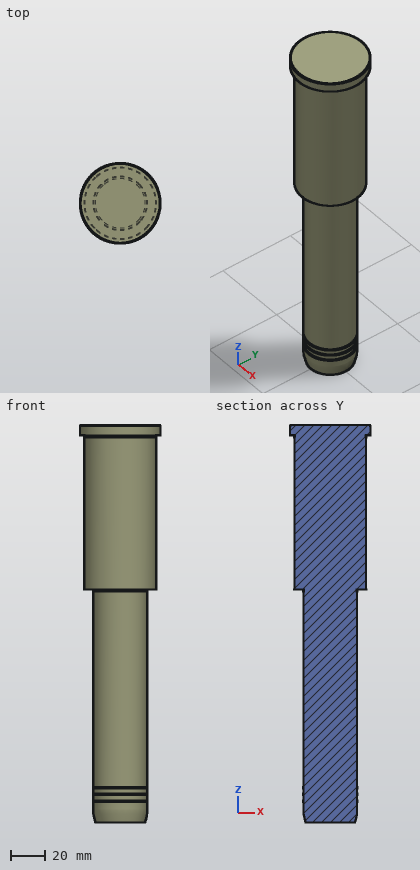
import cadquery as cq
import math

total_length = 231.0
flange_diameter = 47.0
flange_thickness = 6.0
flange_chamfer = 0.5
body_diameter = 42.0
body_length = 89.6
pin_diameter = 31.6

neck_length = 1.2
neck_depth = 0.5

neck_slope_height = 0.5

groove_count = 3
groove_width = 1.0
groove_depth = 0.2
groove_pitch = 4.0
lowest_groove_bottom = 12.0

tip_height = 7.5
tip_inset = 1.5

flange_radius = flange_diameter / 2
body_radius = body_diameter / 2
pin_radius = pin_diameter / 2
flange_bottom = total_length - flange_thickness
body_bottom = flange_bottom - body_length


def cylinder(radius, bottom, top):
    return cq.Workplane("XY").workplane(offset=bottom).circle(radius).extrude(top - bottom)


def ring_cut(radius, bottom, width, depth):
    """Ring that removes the given depth from a cylinder of the given radius."""
    outer = cylinder(radius + depth, bottom, bottom + width)
    return outer.cut(cylinder(radius - depth, bottom, bottom + width))


def v_groove_cut(radius, bottom, width, depth):
    """Ring of triangular section that cuts a V groove into a cylinder."""
    return (
        cq.Workplane("XZ")
        .moveTo(radius, bottom)
        .lineTo(radius - depth, bottom + width / 2)
        .lineTo(radius, bottom + width)
        .close()
        .revolve(360, (0, 0, 0), (0, 1, 0))
    )


def rounded_pin():
    """Pin whose tip narrows along an arc tangent to the straight side."""
    arc_radius = (tip_height**2 + tip_inset**2) / (2 * tip_inset)
    half_angle = math.asin(tip_height / arc_radius) / 2
    arc_middle = (
        pin_radius - arc_radius * (1 - math.cos(half_angle)),
        tip_height - arc_radius * math.sin(half_angle),
    )
    return (
        cq.Workplane("XZ")
        .lineTo(pin_radius - tip_inset, 0)
        .threePointArc(arc_middle, (pin_radius, tip_height))
        .lineTo(pin_radius, body_bottom)
        .lineTo(0, body_bottom)
        .close()
        .revolve(360, (0, 0, 0), (0, 1, 0))
    )


pin = rounded_pin()
pin = pin.cut(ring_cut(pin_radius, body_bottom - neck_length, neck_length, neck_depth))
for index in range(groove_count):
    groove_bottom = lowest_groove_bottom + index * groove_pitch
    pin = pin.cut(v_groove_cut(pin_radius, groove_bottom, groove_width, groove_depth))

body_top = flange_bottom - neck_length + neck_slope_height
body = cylinder(body_radius, body_bottom, body_top)
body = body.faces(">Z").edges().chamfer(neck_slope_height, neck_depth)
body_neck = cylinder(body_radius - neck_depth, body_top, flange_bottom)

flange = cylinder(flange_radius, flange_bottom, total_length)
flange = flange.faces(">Z").edges().chamfer(flange_chamfer)

result = pin.union(body).union(body_neck).union(flange)